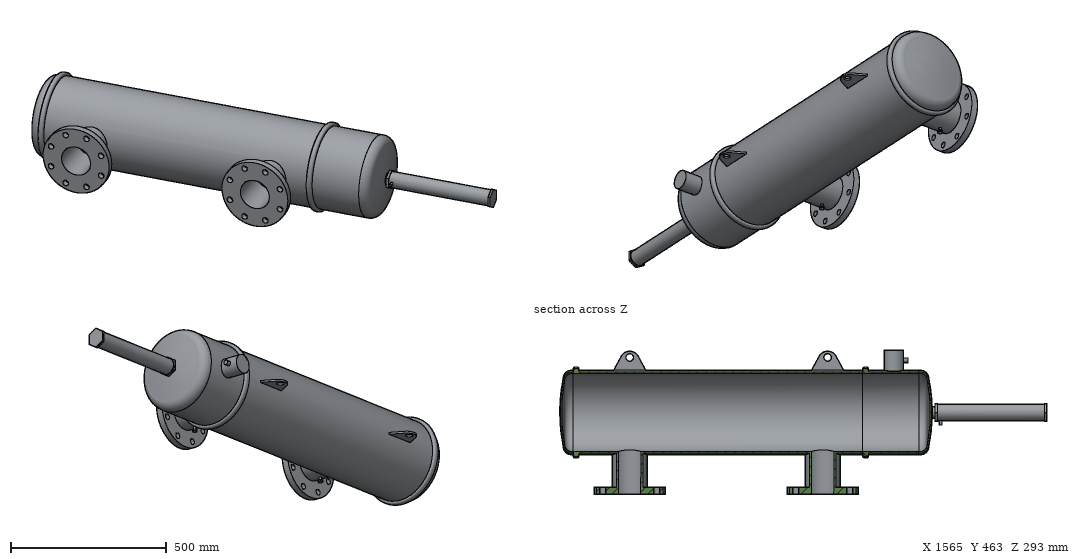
import cadquery as cq
import math


shell_radius = 136.0
wall = 6.0
vessel_start = 44.0
chamber_start = 974.0
chamber_end = 1154.0

collar_diameter = 293.0
collar_radius = collar_diameter / 2
collar_width = 19.0
collar_fillet = 6.0

head_length = vessel_start
knuckle_radius = 28.0
crown_edge_radius = shell_radius - knuckle_radius
crown_depth = 11.0
dish_depth = crown_depth + knuckle_radius
right_head_end = chamber_end + head_length

port_x = 1074.0
port_radius = 31.0
port_end = 200.0
port_plug_y = 167.0
port_plug_radius = 8.0
port_plug_length = 14.0

nozzle_positions = [225.0, 845.0]
pipe_radius = 56.0
bore_radius = 50.0
flange_radius = 115.0
flange_thickness = 23.0
flange_face = 263.0
bolt_count = 8
bolt_circle_radius = 94.0
bolt_hole_radius = 10.0

drain_y = -199.0
drain_stem_radius = 5.0
drain_head_radius = 8.0
drain_height = 15.0
drain_head_thickness = 6.0

lug_positions = [225.0, 861.0]
lug_top = 197.0
lug_tip_radius = 31.0
lug_base_half_width = 52.0
lug_thickness = 6.0
lug_hole_y = 177.0
lug_hole_radius = 11.7

shaft_radius = 19.0
drive_start = 1205.0
drive_end = 1565.0
drive_radius = 27.0
end_plate_thickness = 8.0
end_plate_corner_radius = 33.0
stub_x = 1224.0
stub_radius = 5.0
stub_end = 40.0


def rod_x(radius, start, end):
    """Cylinder on the vessel axis."""
    return cq.Workplane("YZ", origin=(start, 0, 0)).circle(radius).extrude(end - start)


def rod_y(radius, x, start, end):
    """Cylinder along Y at the given X, centred on Z = 0."""
    return cq.Workplane("XZ", origin=(x, start, 0)).circle(radius).extrude(start - end)


def dished_solid(inset):
    """Solid head with its dished end offset inward by inset and its open end at X = head_length.

    A shallow crown meets a quarter-round knuckle at crown_edge_radius.
    """
    knuckle = knuckle_radius - inset
    sphere_radius = (crown_edge_radius**2 + crown_depth**2) / (2 * crown_depth)
    mid_radius = crown_edge_radius / 2
    mid_sag = sphere_radius - math.sqrt(sphere_radius**2 - mid_radius**2)
    diagonal = knuckle * math.sqrt(0.5)
    return (
        cq.Workplane("XY")
        .moveTo(inset, 0)
        .threePointArc((inset + mid_sag, mid_radius), (inset + crown_depth, crown_edge_radius))
        .threePointArc(
            (dish_depth - diagonal, crown_edge_radius + diagonal),
            (dish_depth, crown_edge_radius + knuckle),
        )
        .lineTo(head_length, crown_edge_radius + knuckle)
        .lineTo(head_length, 0)
        .close()
        .revolve(360, (0, 0, 0), (1, 0, 0))
    )


def shell_solid(start, end):
    """Solid cylinder with a rounded collar at its left end."""
    collar = rod_x(collar_radius, start, start + collar_width)
    collar = collar.edges("%CIRCLE").fillet(collar_fillet)
    return rod_x(shell_radius, start, end).union(collar)


def lug(x):
    """Plate in the XY plane with a round tip whose sides run tangent to the base corners."""
    tip_y = lug_top - lug_tip_radius
    drop = tip_y - shell_radius
    reach = math.hypot(lug_base_half_width, drop)
    angle = math.acos(lug_tip_radius / reach) - math.atan2(drop, lug_base_half_width)
    side_x = lug_tip_radius * math.cos(angle)
    side_y = tip_y + lug_tip_radius * math.sin(angle)
    root_y = shell_radius - wall / 2
    hole = (
        cq.Workplane("XY", origin=(x, lug_hole_y, -lug_thickness / 2))
        .circle(lug_hole_radius)
        .extrude(lug_thickness)
    )
    return (
        cq.Workplane("XY", origin=(x, 0, -lug_thickness / 2))
        .moveTo(-lug_base_half_width, root_y)
        .lineTo(lug_base_half_width, root_y)
        .lineTo(lug_base_half_width, shell_radius)
        .lineTo(side_x, side_y)
        .threePointArc((0, lug_top), (-side_x, side_y))
        .lineTo(-lug_base_half_width, shell_radius)
        .close()
        .extrude(lug_thickness)
        .cut(hole)
    )


def drain_plug(x, side):
    """Headed plug standing on the nozzle pipe; side is +1 for the top and -1 for the bottom."""
    root = (pipe_radius + bore_radius) / 2
    tip = pipe_radius + drain_height
    base = cq.Workplane("XY", origin=(x, drain_y, 0))
    stem = base.workplane(offset=side * root).circle(drain_stem_radius).extrude(side * (tip - root))
    head = base.workplane(offset=side * tip).circle(drain_head_radius).extrude(-side * drain_head_thickness)
    return stem.union(head)


def nozzle(x):
    """Pipe stub with its bolted flange, still without the bore."""
    pipe = rod_y(pipe_radius, x, 0, -flange_face)
    flange = (
        cq.Workplane("XZ", origin=(x, flange_thickness - flange_face, 0))
        .circle(flange_radius)
        .extrude(flange_thickness)
        .faces("<Y")
        .workplane(origin=(x, 0, 0))
        .polarArray(bolt_circle_radius, 180 / bolt_count, 360, bolt_count)
        .hole(2 * bolt_hole_radius)
    )
    return pipe.union(flange)


def make_vessel():
    vessel = shell_solid(vessel_start, chamber_start)
    for x in nozzle_positions:
        vessel = vessel.union(nozzle(x))
    for x in lug_positions:
        vessel = vessel.union(lug(x))
    vessel = vessel.cut(rod_x(shell_radius - wall, vessel_start, chamber_start))
    for x in nozzle_positions:
        vessel = vessel.cut(rod_y(bore_radius, x, 0, -flange_face))
        for side in (1, -1):
            vessel = vessel.union(drain_plug(x, side))
    return vessel


def make_chamber():
    """Short shell with the cable port on its +Y side."""
    plug = rod_x(port_plug_radius, port_x, port_x + port_radius + port_plug_length)
    return (
        shell_solid(chamber_start, chamber_end)
        .union(rod_y(port_radius, port_x, 0, port_end))
        .union(plug.translate((0, port_plug_y, 0)))
        .cut(rod_x(shell_radius - wall, chamber_start, chamber_end))
    )


def make_head():
    """Hollow dished head with its crown at X = 0."""
    return dished_solid(0).cut(dished_solid(wall))


def make_shaft():
    """Shaft from the inner face of the right head to the drive."""
    return rod_x(shaft_radius, right_head_end - wall, drive_start)


def make_drive():
    """Cylinder with a hexagonal plate at each end, corners up and down, and a stub on its -Y side."""
    drive = rod_x(drive_radius, drive_start, drive_end)
    corner_angles = [i * math.pi / 3 for i in range(6)]
    corners = [
        (end_plate_corner_radius * math.sin(angle), end_plate_corner_radius * math.cos(angle))
        for angle in corner_angles
    ]
    for plate_start in (drive_start, drive_end - end_plate_thickness):
        plate = cq.Workplane("YZ", origin=(plate_start, 0, 0)).polyline(corners).close()
        drive = drive.union(plate.extrude(end_plate_thickness))
    return drive.union(rod_y(stub_radius, stub_x, 0, -stub_end))


vessel = make_vessel()
chamber = make_chamber()
shaft = make_shaft()
left_head = make_head()
right_head = make_head().mirror("YZ").translate((right_head_end, 0, 0)).cut(shaft)
drive = make_drive()

result = cq.Compound.makeCompound(
    [
        vessel.val(),
        chamber.val(),
        left_head.val(),
        right_head.val(),
        shaft.val(),
        drive.val(),
    ]
)